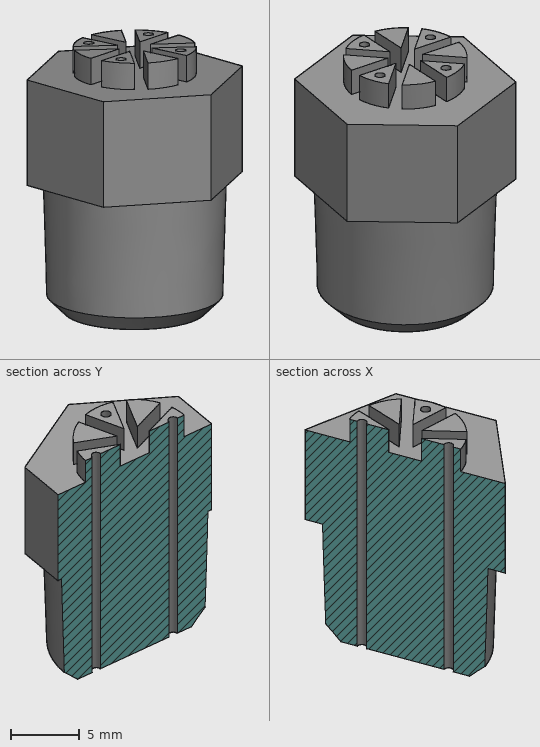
import cadquery as cq
import math

total_height = 20.0
crown_height = 2.0
hex_height = 8.0
hex_top = total_height - crown_height
hex_bottom = hex_top - hex_height

across_flats = 14.0
across_corners = across_flats / math.cos(math.radians(30))

shank_top_radius = 6.7
shank_low_radius = 6.45
tip_radius = 5.2
tip_height = 1.25

crown_radius = 4.5
slot_width = 1.0
slot_length = 3 * crown_radius
wedge_count = 8
wedge_angle = 360.0 / wedge_count

hole_diameter = 0.75
hole_circle_radius = 3.5
hole_count = wedge_count // 2


def make_shank():
    """Tapered round shank, revolved about Z."""
    return (
        cq.Workplane("XZ")
        .moveTo(0, 0)
        .lineTo(tip_radius, 0)
        .lineTo(shank_low_radius, tip_height)
        .lineTo(shank_top_radius, hex_bottom)
        .lineTo(0, hex_bottom)
        .close()
        .revolve(360, (0, 0, 0), (0, 1, 0))
    )


def make_hexagon():
    """Hexagonal body, turned so that its corners lie on the Y axis."""
    return (
        cq.Workplane("XY")
        .polygon(6, across_corners)
        .extrude(hex_height)
        .rotate((0, 0, 0), (0, 0, 1), 30)
        .translate((0, 0, hex_bottom))
    )


def make_crown():
    """Disc cut into wedges by slots that all cross at the centre."""
    crown = cq.Workplane("XY").circle(crown_radius).extrude(crown_height)
    slot = cq.Workplane("XY").rect(slot_length, slot_width).extrude(crown_height)
    for i in range(wedge_count // 2):
        crown = crown.cut(slot.rotate((0, 0, 0), (0, 0, 1), (i + 0.5) * wedge_angle))
    return crown.translate((0, 0, hex_top))


def make_holes():
    """Small holes running the full height of the part."""
    return (
        cq.Workplane("XY")
        .polarArray(hole_circle_radius, 0, 360, hole_count)
        .circle(hole_diameter / 2)
        .extrude(total_height)
    )


result = make_shank().union(make_hexagon()).union(make_crown()).cut(make_holes())